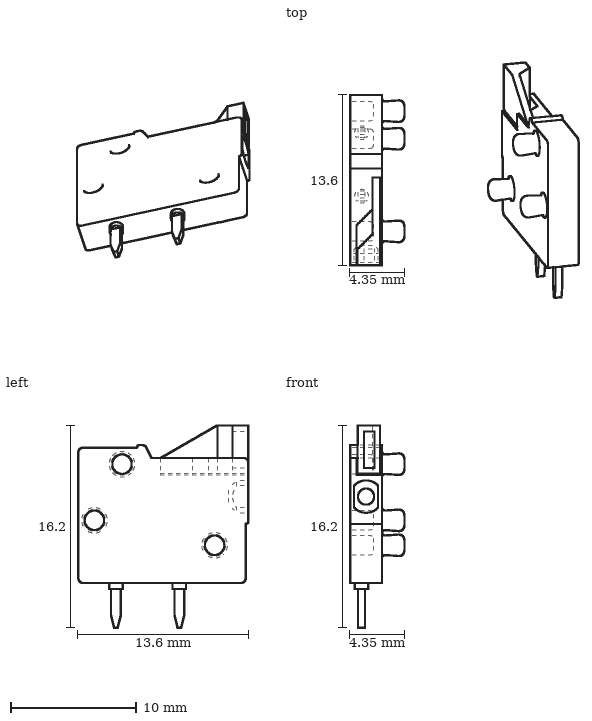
import cadquery as cq
import math


THICKNESS = 2.55
DEPTH = 13.6
LIP_PROJECTION = 0.21
LIP_BOTTOM = 4.75
LIP_ROUND = 0.18
FRONT_TOP = 10.01
BACK_TOP = 10.84
CORNER_ROUND = 0.4

HUMP_HEIGHT = 0.21
HUMP_BACK = 8.91
HUMP_BACK_ROUND = 0.2
HUMP_RAMP_START = 7.75
HUMP_RAMP_RISE_PER_RUN = 2
HUMP_TOP = BACK_TOP + HUMP_HEIGHT
HUMP_RAMP_END = HUMP_RAMP_START + (HUMP_TOP - FRONT_TOP) / HUMP_RAMP_RISE_PER_RUN

TOTAL_HEIGHT = 16.2
PIN_LENGTH = 3.58
BUTTON_TOP = TOTAL_HEIGHT - PIN_LENGTH
BUTTON_CLEARANCE = 0.1
BUTTON_LEFT = 0.6
BUTTON_RIGHT = 2.4
BUTTON_BOTTOM = 8.75
BUTTON_SIDE_LENGTH = 1.3
TAIL_LEFT = 1.8
TAIL_END = 7.01
TAIL_SLOPE = math.radians(30)
TAIL_ROUND = 0.49
SLOPE_TOP_Y = TAIL_END - (BUTTON_TOP - FRONT_TOP) / math.tan(TAIL_SLOPE)

RECESS_LEFT = 1.12
RECESS_WIDTH = 0.81
RECESS_BOTTOM = 9.22
RECESS_HEIGHT = 2.9
RECESS_DEPTH = 1.3

POCKET_LEFT = BUTTON_LEFT - BUTTON_CLEARANCE
POCKET_FLOOR = BUTTON_BOTTOM - BUTTON_CLEARANCE
POCKET_BACK = 4.49

WIRE_X = THICKNESS / 2
WIRE_Z = 6.92
WIRE_RADIUS = 1.3
WIRE_WIDTH = 1.91
WIRE_BORE_DEPTH = 0.94
WIRE_CONE_DEPTH = 0.65
WIRE_END_RADIUS = 0.65

PEG_CENTERS = [(10.11, 9.51), (12.31, 5.02), (2.7, 3.03)]
PEG_LENGTH = 1.8
PEG_NECK_RADIUS = 0.8
PEG_HEAD_RADIUS = 0.87
PEG_FLARE = 0.23
PEG_NOSE = 0.45
SOCKET_RADIUS = 0.78
SOCKET_DEPTH = 1.86
SOCKET_MOUTH_ROUND = 0.2
SOCKET_END_ROUND = 0.29

PIN_X = 0.9
PIN_Y_CENTERS = [5.52, 10.6]
PIN_WIDTH_X = 0.57
PIN_WIDTH_Y = 0.8
PIN_TIP_WIDTH_Y = 0.29
PIN_TIP_LENGTH = 1.0
COLLAR_RADIUS = 0.55
COLLAR_HEIGHT = 0.47

ARC_MIDDLE = math.sqrt(0.5)


def rounded_edge(body, y, z, radius):
    """Round the edge along X that passes through the given Y and Z."""
    edge_point = (THICKNESS / 2, y, z)
    return body.edges("|X").edges(cq.selectors.NearestToPointSelector(edge_point)).fillet(radius)


def side_profile(points, left, right):
    """Extrude a (Y, Z) outline from one X position to another."""
    return cq.Workplane("YZ").workplane(offset=left).polyline(points).close().extrude(right - left)


def make_housing_block():
    outline = [
        (LIP_PROJECTION, 0),
        (DEPTH, 0),
        (DEPTH, BACK_TOP),
        (HUMP_BACK, BACK_TOP),
        (HUMP_BACK, HUMP_TOP),
        (HUMP_RAMP_END, HUMP_TOP),
        (HUMP_RAMP_START, FRONT_TOP),
        (0, FRONT_TOP),
        (0, LIP_BOTTOM),
        (LIP_PROJECTION, LIP_BOTTOM),
    ]
    block = side_profile(outline, 0, THICKNESS)
    outer_corners = [
        (LIP_PROJECTION, 0),
        (DEPTH, 0),
        (DEPTH, BACK_TOP),
        (HUMP_RAMP_END, HUMP_TOP),
        (0, FRONT_TOP),
    ]
    for y, z in outer_corners:
        block = rounded_edge(block, y, z, CORNER_ROUND)
    block = rounded_edge(block, HUMP_BACK, HUMP_TOP, HUMP_BACK_ROUND)
    return rounded_edge(block, 0, LIP_BOTTOM, LIP_ROUND)


def make_button_pocket():
    chamfer_start = POCKET_BACK - (TAIL_LEFT - POCKET_LEFT)
    outline = [
        (POCKET_LEFT, 0),
        (THICKNESS, 0),
        (THICKNESS, POCKET_BACK),
        (BUTTON_RIGHT, POCKET_BACK),
        (BUTTON_RIGHT, TAIL_END),
        (TAIL_LEFT, TAIL_END),
        (TAIL_LEFT, POCKET_BACK),
        (POCKET_LEFT, chamfer_start),
    ]
    floor = cq.Workplane("XY").workplane(offset=POCKET_FLOOR)
    return floor.polyline(outline).close().extrude(FRONT_TOP - POCKET_FLOOR)


def make_wire_entry():
    entry_depth = WIRE_BORE_DEPTH + WIRE_CONE_DEPTH
    profile = [
        (0, 0),
        (WIRE_RADIUS, 0),
        (WIRE_RADIUS, WIRE_BORE_DEPTH),
        (WIRE_END_RADIUS, entry_depth),
        (0, entry_depth),
    ]
    bore = cq.Workplane("XY").polyline(profile).close().revolve(360, (0, 0), (0, 1))
    bore_height = 2 * WIRE_RADIUS
    flat_sides = cq.Workplane("XY").box(WIRE_WIDTH, entry_depth, bore_height, centered=(True, False, True))
    return bore.intersect(flat_sides).translate((WIRE_X, 0, WIRE_Z))


def make_socket(y, z):
    mouth_radius = SOCKET_RADIUS + SOCKET_MOUTH_ROUND
    mouth_arc_middle = (
        SOCKET_MOUTH_ROUND * (1 - ARC_MIDDLE),
        mouth_radius - SOCKET_MOUTH_ROUND * ARC_MIDDLE,
    )
    end_arc_middle = (
        SOCKET_DEPTH - SOCKET_END_ROUND * (1 - ARC_MIDDLE),
        SOCKET_RADIUS - SOCKET_END_ROUND * (1 - ARC_MIDDLE),
    )
    profile = (
        cq.Workplane("XY")
        .lineTo(0, mouth_radius)
        .threePointArc(mouth_arc_middle, (SOCKET_MOUTH_ROUND, SOCKET_RADIUS))
        .lineTo(SOCKET_DEPTH - SOCKET_END_ROUND, SOCKET_RADIUS)
        .threePointArc(end_arc_middle, (SOCKET_DEPTH, SOCKET_RADIUS - SOCKET_END_ROUND))
        .lineTo(SOCKET_DEPTH, 0)
        .close()
    )
    x_axis = ((0, 0), (1, 0))
    return profile.revolve(360, *x_axis).translate((0, y, z))


def make_housing():
    housing = make_housing_block().cut(make_button_pocket()).cut(make_wire_entry())
    for y, z in PEG_CENTERS:
        housing = housing.cut(make_socket(y, z))
    return housing


def make_button():
    side_outline = [
        (0, BUTTON_BOTTOM),
        (0, BUTTON_TOP),
        (SLOPE_TOP_Y, BUTTON_TOP),
        (TAIL_END, FRONT_TOP),
        (TAIL_END, BUTTON_BOTTOM),
    ]
    button = side_profile(side_outline, BUTTON_LEFT, BUTTON_RIGHT)
    button = rounded_edge(button, SLOPE_TOP_Y, BUTTON_TOP, TAIL_ROUND)

    chamfer_end = BUTTON_SIDE_LENGTH + TAIL_LEFT - BUTTON_LEFT
    plan_outline = [
        (BUTTON_LEFT, 0),
        (BUTTON_RIGHT, 0),
        (BUTTON_RIGHT, TAIL_END),
        (TAIL_LEFT, TAIL_END),
        (TAIL_LEFT, chamfer_end),
        (BUTTON_LEFT, BUTTON_SIDE_LENGTH),
    ]
    plan = cq.Workplane("XY").workplane(offset=BUTTON_BOTTOM).polyline(plan_outline).close()
    button = button.intersect(plan.extrude(BUTTON_TOP - BUTTON_BOTTOM))

    recess = cq.Workplane("XY").box(RECESS_WIDTH, RECESS_DEPTH, RECESS_HEIGHT, centered=False)
    return button.cut(recess.translate((RECESS_LEFT, 0, RECESS_BOTTOM)))


def make_peg(y, z):
    """Make a peg that stands on the right side: flared foot, widening shank and rounded nose."""
    foot_radius = PEG_NECK_RADIUS + PEG_FLARE
    flare_arc_middle = (PEG_FLARE * (1 - ARC_MIDDLE), foot_radius - PEG_FLARE * ARC_MIDDLE)
    nose_start = PEG_LENGTH - PEG_NOSE
    nose_arc_middle = (nose_start + PEG_NOSE * ARC_MIDDLE, PEG_HEAD_RADIUS - PEG_NOSE * (1 - ARC_MIDDLE))
    profile = (
        cq.Workplane("XY")
        .lineTo(0, foot_radius)
        .threePointArc(flare_arc_middle, (PEG_FLARE, PEG_NECK_RADIUS))
        .lineTo(nose_start, PEG_HEAD_RADIUS)
        .threePointArc(nose_arc_middle, (PEG_LENGTH, PEG_HEAD_RADIUS - PEG_NOSE))
        .lineTo(PEG_LENGTH, 0)
        .close()
    )
    x_axis = ((0, 0), (1, 0))
    return profile.revolve(360, *x_axis).translate((THICKNESS, y, z))


def make_pin(y):
    collar = cq.Workplane("XY").circle(COLLAR_RADIUS).extrude(-COLLAR_HEIGHT)
    taper_start = PIN_TIP_LENGTH - PIN_LENGTH
    blade_outline = [
        (-PIN_WIDTH_Y / 2, 0),
        (-PIN_WIDTH_Y / 2, taper_start),
        (-PIN_TIP_WIDTH_Y / 2, -PIN_LENGTH),
        (PIN_TIP_WIDTH_Y / 2, -PIN_LENGTH),
        (PIN_WIDTH_Y / 2, taper_start),
        (PIN_WIDTH_Y / 2, 0),
    ]
    blade = side_profile(blade_outline, -PIN_WIDTH_X / 2, PIN_WIDTH_X / 2)
    return collar.union(blade).translate((PIN_X, y, 0))


housing = make_housing()
button = make_button()
pegs = [make_peg(y, z).solids().val() for y, z in PEG_CENTERS]
pins = [make_pin(y).solids().val() for y in PIN_Y_CENTERS]

result = cq.Compound.makeCompound([housing.solids().val(), button.solids().val(), *pegs, *pins])